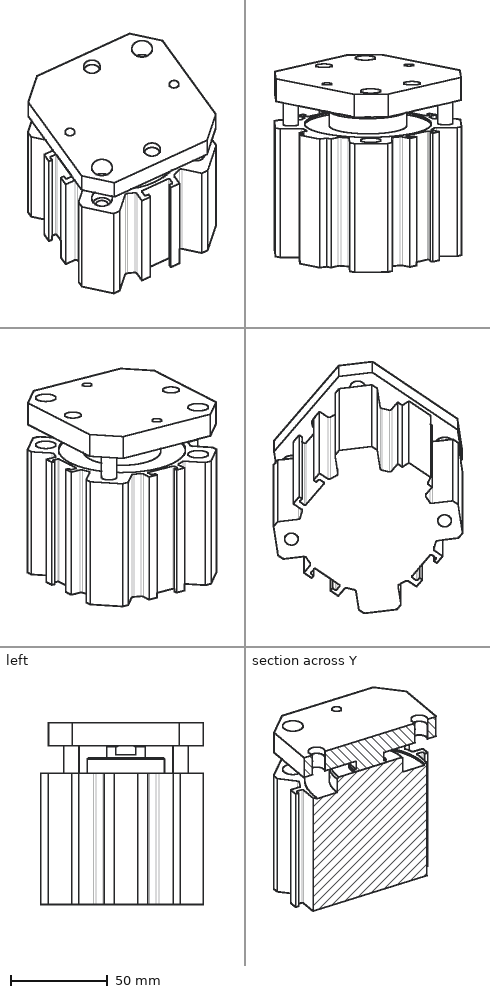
import cadquery as cq
import math

width = 80.0
half_width = width / 2
total_height = 94
housing_height = 68.0
plate_thickness = 12.0
plate_bottom = total_height - plate_thickness
housing_corner = 12.0
plate_corner = 12.4

rail_half_width = 11.2
channel_half_width = 24.4
channel_floor_end = 16.3
channel_floor_angle = 22.5
channel_fillet = 1.2

slot_half_mouth = 6.1
slot_half_width = 8.3
slot_lip = 1.9
slot_fillet = 0.5
slot_depth = 5.5

lug_height = 4.0
lug_root_width = 16.3
lug_tip_width = 14.0

recess_diameter = 65.5
recess_depth = 0.9
boss_diameter = 40.0
boss_top = 75.95
boss_chamfer = 0.9

collar_diameter = 20.0
collar_chamfer = 0.6
flats_width = 17.1
flats_bottom = 77.4

corner_offset = 28.2
guide_rod_diameter = 8.0
mount_head_diameter = 10.5
mount_hole_diameter = 7.0
mount_head_depth = 6.6
guide_corners = [(-corner_offset, -corner_offset), (corner_offset, corner_offset)]
mount_corners = [(-corner_offset, corner_offset), (corner_offset, -corner_offset)]

plate_hole_offset = 31
large_hole_diameter = 8.6
large_hole_depth = 3.8
large_hole_core = 8.5
small_hole_diameter = 4.9


def bevelled_block(height, corner):
    return (
        cq.Workplane("XY")
        .rect(width, width)
        .extrude(height)
        .edges("|Z")
        .chamfer(corner)
    )


def relief_channel():
    """Channel on the +X half of the +Y side."""
    flank_run = channel_half_width - channel_floor_end
    floor_end_y = half_width - flank_run
    floor_rise = (channel_floor_end - rail_half_width) * math.tan(math.radians(channel_floor_angle))
    channel = (
        cq.Workplane("XY")
        .polyline([
            (rail_half_width, half_width),
            (rail_half_width, floor_end_y + floor_rise),
            (channel_floor_end, floor_end_y),
            (channel_half_width, half_width),
        ])
        .close()
        .extrude(housing_height)
    )
    return channel.edges("|Z and (not >Y)").fillet(channel_fillet)


def t_slot():
    """T-slot in the +Y side."""
    floor_y = half_width - slot_depth
    mouth = cq.Workplane("XY").box(
        2 * slot_half_mouth, slot_depth, housing_height, centered=(True, False, False)
    )
    undercut = cq.Workplane("XY").box(
        2 * slot_half_width, slot_depth - slot_lip, housing_height, centered=(True, False, False)
    )
    undercut = undercut.edges("|Z").fillet(slot_fillet)
    return mouth.union(undercut).translate((0, floor_y, 0))


def side_lug():
    return (
        cq.Workplane("XY")
        .polyline([
            (-lug_root_width / 2, half_width),
            (-lug_tip_width / 2, half_width + lug_height),
            (lug_tip_width / 2, half_width + lug_height),
            (lug_root_width / 2, half_width),
        ])
        .close()
        .extrude(housing_height)
    )


def make_housing():
    body = bevelled_block(housing_height, housing_corner)

    right_channel = relief_channel()
    left_channel = right_channel.mirror("YZ")
    for angle in (0, 90, 180, 270):
        cutters = [right_channel, left_channel]
        if angle != 0:
            cutters.append(t_slot())
        for cutter in cutters:
            body = body.cut(cutter.rotate((0, 0, 0), (0, 0, 1), angle))
    body = body.union(side_lug())

    recess_floor = housing_height - recess_depth
    body = body.cut(
        cq.Workplane("XY").workplane(offset=recess_floor).circle(recess_diameter / 2).extrude(recess_depth)
    )
    boss = (
        cq.Workplane("XY")
        .workplane(offset=recess_floor)
        .circle(boss_diameter / 2)
        .extrude(boss_top - recess_floor)
        .faces(">Z")
        .chamfer(boss_chamfer)
    )
    body = body.union(boss)

    return (
        body.copyWorkplane(cq.Workplane("XY", origin=(0, 0, housing_height)))
        .pushPoints(mount_corners)
        .cboreHole(mount_hole_diameter, mount_head_diameter, mount_head_depth)
    )


def rod_end():
    collar = (
        cq.Workplane("XY")
        .workplane(offset=boss_top)
        .circle(collar_diameter / 2)
        .extrude(plate_bottom - boss_top)
        .faces(">Z")
        .chamfer(collar_chamfer)
    )
    flats = (
        cq.Workplane("XY")
        .workplane(offset=flats_bottom)
        .rect(collar_diameter, collar_diameter)
        .rect(flats_width, collar_diameter)
        .extrude(plate_bottom - flats_bottom)
    )
    return collar.cut(flats)


def make_carriage():
    """Plate with the piston rod end and the guide rods fixed under it."""
    plate = bevelled_block(plate_thickness, plate_corner).translate((0, 0, plate_bottom))
    plate = (
        plate.copyWorkplane(cq.Workplane("XY", origin=(0, 0, total_height)))
        .pushPoints(mount_corners)
        .hole(mount_head_diameter)
        .pushPoints([(-plate_hole_offset, 0), (plate_hole_offset, 0)])
        .cboreHole(large_hole_core, large_hole_diameter, large_hole_depth)
        .pushPoints([(0, -plate_hole_offset), (0, plate_hole_offset)])
        .hole(small_hole_diameter)
    )
    guide_rods = (
        cq.Workplane("XY")
        .workplane(offset=housing_height)
        .pushPoints(guide_corners)
        .circle(guide_rod_diameter / 2)
        .extrude(plate_bottom - housing_height)
    )
    return plate.union(rod_end()).union(guide_rods)


housing = make_housing()
carriage = make_carriage()

result = cq.Compound.makeCompound([housing.val(), carriage.val()])